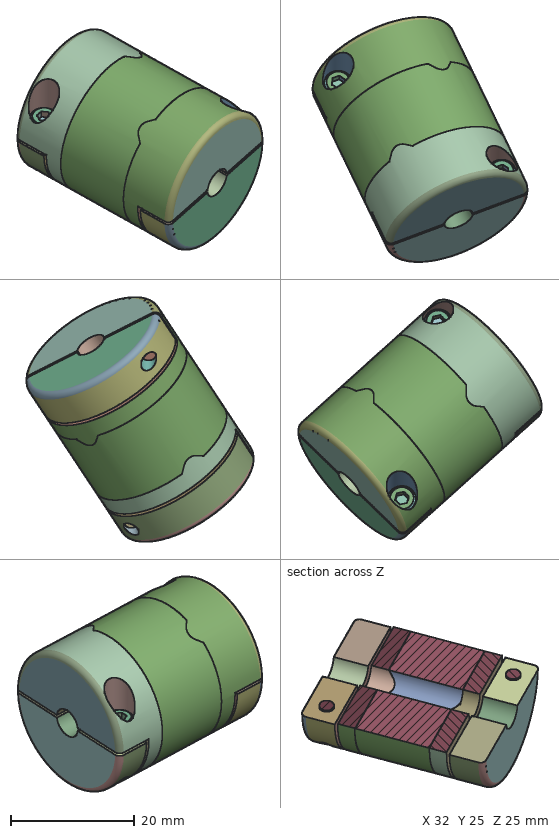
import cadquery as cq
import math


length = 32.0
outer_diameter = 25.0
bore_diameter = 5.0
end_fillet = 1.0

outer_radius = outer_diameter / 2
end_x = -length / 2

hub_length = 9.5
ring_length = length - 2 * hub_length
ring_face_x = end_x + hub_length

jaw_length = 6.0
slit_width = 0.5

screw_x = end_x + 3.25
screw_y = -9.0
shank_diameter = 2.5
shank_end_z = -6.0
head_diameter = 4.5
head_height = 2.5
head_chamfer = 0.35
counterbore_diameter = 5.0
seat_z = 2.0
hex_across_flats = 2.0
hex_depth = 1.25

tooth_angles = (30, 150)
tooth_half_width = 2.35
tooth_height = 1.5
tooth_apex_height = 2.25
flank_angle = math.atan2(tooth_half_width, tooth_apex_height)
tooth_tip_radius = (tooth_apex_height - tooth_height) / (1 / math.sin(flank_angle) - 1)


def cylinder_along_x(start_x, cylinder_length, diameter):
    plane = cq.Workplane("YZ", origin=(start_x, 0, 0))
    return plane.circle(diameter / 2).extrude(cylinder_length)


def screw_cylinder(bottom_z, height, diameter):
    plane = cq.Workplane("XY", origin=(screw_x, screw_y, bottom_z))
    return plane.circle(diameter / 2).extrude(height)


bore = cylinder_along_x(end_x, length, bore_diameter)


def make_tooth(angle):
    """A radial ridge with straight flanks and a round tip, trimmed to the outer cylinder."""
    ridge = (
        cq.Workplane("XY", origin=(ring_face_x, 0, 0))
        .moveTo(0, -tooth_half_width)
        .lineTo(tooth_apex_height, 0)
        .lineTo(0, tooth_half_width)
        .close()
        .extrude(outer_radius)
        .edges("|Z and >X")
        .fillet(tooth_tip_radius)
        .rotate((0, 0, 0), (1, 0, 0), -angle)
    )
    return ridge.intersect(cylinder_along_x(ring_face_x, tooth_apex_height, outer_diameter))


def make_slits():
    """A level slit from the end face and an upright slit behind the jaw, both right across Y."""
    slit_end = jaw_length + slit_width
    level = cq.Workplane("XY").box(slit_end, outer_diameter, slit_width, centered=(False, True, True))
    upright = (
        cq.Workplane("XY", origin=(jaw_length, 0, slit_width / 2))
        .box(slit_width, outer_diameter, outer_diameter, centered=(False, True, False))
        .translate((0, 0, -outer_diameter))
    )
    return level.union(upright).translate((end_x, 0, 0))


def make_screw():
    """Socket head cap screw; it bridges the slit and is one piece with the hub."""
    head = screw_cylinder(seat_z, head_height, head_diameter).faces(">Z").chamfer(head_chamfer)
    socket = (
        cq.Workplane("XY", origin=(screw_x, screw_y, seat_z + head_height))
        .polygon(6, hex_across_flats, circumscribed=True)
        .extrude(-hex_depth)
    )
    shank = screw_cylinder(shank_end_z, seat_z - shank_end_z, shank_diameter)
    return head.cut(socket).union(shank)


def make_hub():
    hub = cylinder_along_x(end_x, hub_length, outer_diameter).faces("<X").edges().fillet(end_fillet)
    for angle in tooth_angles:
        hub = hub.union(make_tooth(angle))
    counterbore = screw_cylinder(seat_z, outer_radius, counterbore_diameter)
    screw_hole = screw_cylinder(-outer_radius, outer_diameter, shank_diameter)
    hub = hub.cut(bore).cut(make_slits()).cut(counterbore).cut(screw_hole)
    return hub.union(make_screw())


hub_turns = (0, 180)
hubs = [make_hub().rotate((0, 0, 0), (0, 0, 1), turn) for turn in hub_turns]

elastic_ring = cylinder_along_x(ring_face_x, ring_length, outer_diameter).cut(bore)
for hub in hubs:
    elastic_ring = elastic_ring.cut(hub)

result = cq.Compound.makeCompound([elastic_ring.solids().val(), *[hub.solids().val() for hub in hubs]])